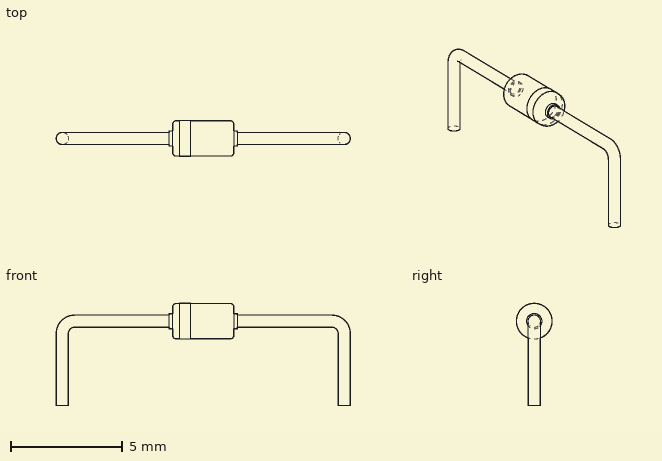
import cadquery as cq

overall_length = 13.25
overall_height = 4.61

wire_diameter = 0.55
bend_radius = 0.55

body_diameter = 1.6
body_length = 2.75
body_edge_radius = 0.16

band_diameter = 1.62
band_offset = 0.32
band_width = 0.48

collar_diameter = 0.69
collar_length = 0.16

lead_x = (overall_length - wire_diameter) / 2
lead_bottom_z = band_diameter / 2 - overall_height


def x_cylinder(diameter, start_x, length):
    """Solid cylinder on the X axis, growing towards +X."""
    return cq.Workplane("YZ", origin=(start_x, 0, 0)).circle(diameter / 2).extrude(length)


def make_body():
    """Round body with softened end edges."""
    body = x_cylinder(body_diameter, -body_length / 2, body_length)
    return body.faces("<X or >X").edges().fillet(body_edge_radius)


def make_band():
    """Slightly raised marking band near the -X end."""
    return x_cylinder(band_diameter, -body_length / 2 + band_offset, band_width)


def make_collars():
    """Collars around the wire at both end faces, joined through the body."""
    length = body_length + 2 * collar_length
    return x_cylinder(collar_diameter, -length / 2, length)


def make_wire():
    """One continuous wire: leg, bend, straight run, bend, leg."""
    path = (
        cq.Workplane("XZ")
        .moveTo(-lead_x, lead_bottom_z)
        .lineTo(-lead_x, -bend_radius)
        .tangentArcPoint((-lead_x + bend_radius, 0), relative=False)
        .lineTo(lead_x - bend_radius, 0)
        .tangentArcPoint((lead_x, -bend_radius), relative=False)
        .lineTo(lead_x, lead_bottom_z)
    )
    section = cq.Workplane("XY", origin=(-lead_x, 0, lead_bottom_z)).circle(wire_diameter / 2)
    return section.sweep(path)


result = make_body().union(make_band()).union(make_collars()).union(make_wire())